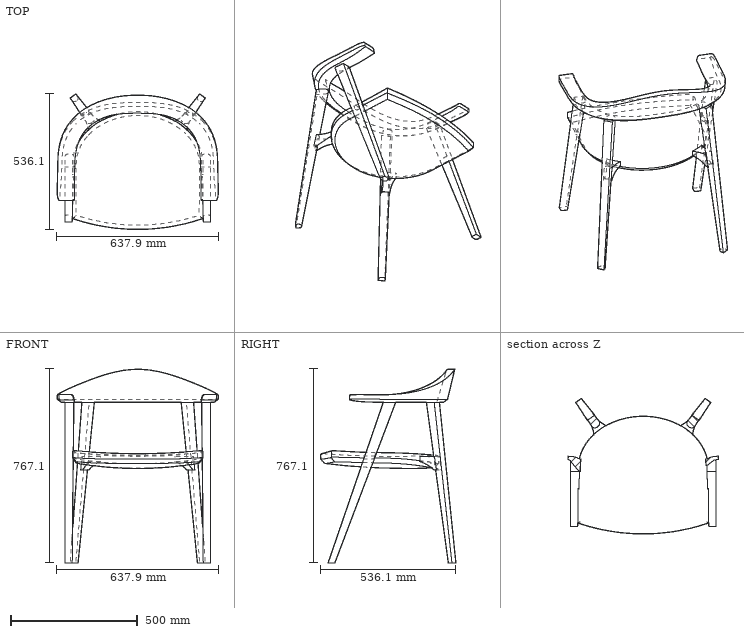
import cadquery as cq
import math


rail_bottom = 636.0
arm_top = 666.0
crest_top = 767.09
crest_power = 2.4
bend_y = -30.0
bend_power = 2.6
rail_half_width = 316.8
rail_outer_back = 235.0
rail_inner_half = 249.0
rail_inner_back = 192.0
outer_lean = 0.24
inner_lean = 0.30
bevel_width = 16.0
bevel_height = 12.0
rail_round = 6.0
bend_step = 15
arm_end_y = -154.0
arm_end_half_width = 311.0
arm_end_bottom = 646.0
arm_end_bevel = 4.0
arm_nose_round = 6.0

seat_half_width = 258.0
seat_back = 198.0
seat_front = -268.0
seat_corner_y = -225.0
seat_front_z = 434.0
seat_back_z = 427.0
seat_bend_y = -10.0
seat_side_rise = 16.0
seat_dish = 8.0
seat_under_z = 374.0
seat_under_y = 75.0
seat_under_front_rise = 22.0
seat_under_side_rise = 24.0
seat_under_corner_rise = 8.0
seat_bevel_in = 17.0
seat_bevel_up = 15.0
seat_edge_round = 7.0

front_leg_outer_x = 288.0
front_top_width, front_top_depth, front_top_round = 36.0, 50.0, 12.0
front_foot_width, front_foot_depth, front_foot_round = 29.0, 27.5, 8.0
front_top_y = -20.0
front_foot_y = -238.5

rear_turn = 54.0
rear_foot_x, rear_foot_y = 256.0, 260.0
rear_lean = 83.7
rear_top_width, rear_top_depth, rear_top_round = 36.0, 46.0, 15.0
rear_foot_width, rear_foot_depth, rear_foot_round = 27.5, 24.0, 12.0

bracket_top = 422.0
bracket_bottom_z = 368.0
bracket_seat_bottom = 408.0
bracket_leg_width = 32.0
bracket_seat_width = 80.0
bracket_reach = 75.0
bracket_flare = 0.2
bracket_hollow = 0.6


def bend_radius(half_width, depth, angle):
    """Distance from the bend centre to a superellipse, at an angle in degrees from +X."""
    across = abs(math.cos(math.radians(angle)) / half_width)
    along = abs(math.sin(math.radians(angle)) / depth)
    return (across ** bend_power + along ** bend_power) ** (-1 / bend_power)


def rail_section(plane, inner, outer, top, bottom, lean, bevel_w, bevel_h):
    """Cross-section wire; local x runs outward, local y is the height."""
    inner_top = inner + inner_lean * (top - bottom)
    outer_top = outer + lean * (top - bottom - bevel_h)
    tilt = math.hypot(1, inner_lean)
    foot_x = inner_top - rail_round * inner_lean / tilt
    foot_z = top - rail_round / tilt
    return (
        cq.Workplane(plane)
        .moveTo(inner, bottom)
        .lineTo(outer - bevel_w, bottom)
        .lineTo(outer, bottom + bevel_h)
        .lineTo(outer_top, top)
        .lineTo(inner_top + rail_round, top)
        .tangentArcPoint((foot_x, foot_z), relative=False)
        .close()
        .val()
    )


def bend_section(angle):
    """Upright cross-section of the rail, cut through the bend centre."""
    outward = cq.Vector(math.cos(math.radians(angle)), math.sin(math.radians(angle)), 0)
    plane = cq.Plane(origin=(0, bend_y, 0), xDir=outward, normal=outward.cross(cq.Vector(0, 0, 1)))
    back = math.sin(math.radians(angle))
    inner = bend_radius(rail_inner_half, rail_inner_back - bend_y, angle)
    outer = bend_radius(rail_half_width, rail_outer_back - bend_y, angle)
    top = arm_top + (crest_top - arm_top) * max(back, 0) ** crest_power
    return rail_section(plane, inner, outer, top, rail_bottom, outer_lean * back, bevel_width, bevel_height)


def arm_end_section(side):
    """Thinned cross-section at the front end of an arm."""
    outward = cq.Vector(side, 0, 0)
    plane = cq.Plane(origin=(0, arm_end_y, 0), xDir=outward, normal=outward.cross(cq.Vector(0, 0, 1)))
    return rail_section(
        plane, rail_inner_half, arm_end_half_width, arm_top, arm_end_bottom, 0, arm_end_bevel, arm_end_bevel
    )


def make_rail():
    """One smooth body from the tip of one arm round the back to the tip of the other."""
    bend = [bend_section(angle) for angle in range(0, 181, bend_step)]
    wires = [arm_end_section(1), *bend, arm_end_section(-1)]
    rail = cq.Workplane(cq.Solid.makeLoft(wires, False))
    return rail.faces("<Y").edges(">Z").fillet(arm_nose_round)


def seat_top_z(x, y):
    """Height of the dished upper face."""
    along = (y - seat_front) / (seat_back - seat_front)
    hollow = seat_dish * 4 * along * (1 - along)
    slope = seat_front_z + (seat_back_z - seat_front_z) * along
    return slope - hollow + seat_side_rise * (x / seat_half_width) ** 2


def seat_under_height(x, y):
    """Height of the bowed underside."""
    forward = ((y - seat_under_y) / (seat_front - seat_under_y)) ** 2
    side_rise = seat_under_side_rise + (seat_under_corner_rise - seat_under_side_rise) * forward
    return seat_under_z + seat_under_front_rise * forward + side_rise * (x / seat_half_width) ** 2


def height_surface(height):
    """Smooth face over the seat area with Z given by height(x, y)."""
    steps = 8
    margin = 20.0
    tolerance = 0.05
    x0, x1 = -seat_half_width - margin, seat_half_width + margin
    y0, y1 = seat_front - margin, seat_back + margin
    xs = [x0 + (x1 - x0) * i / steps for i in range(steps + 1)]
    ys = [y0 + (y1 - y0) * i / steps for i in range(steps + 1)]
    return cq.Face.makeSplineApprox([[cq.Vector(x, y, height(x, y)) for y in ys] for x in xs], tol=tolerance)


def make_seat():
    """Slab with the seat's outline, trimmed by the upper and lower curved faces."""
    slab_bottom, slab_height = 300, 200
    slab = (
        cq.Workplane("XY", origin=(0, 0, slab_bottom))
        .moveTo(-seat_half_width, seat_corner_y)
        .threePointArc((0, seat_front), (seat_half_width, seat_corner_y))
        .lineTo(seat_half_width, seat_bend_y)
        .ellipseArc(seat_half_width, seat_back - seat_bend_y, 0, 180, startAtCurrent=True)
        .close()
        .extrude(slab_height)
    )
    above = cq.Solid.extrudeLinear(height_surface(seat_top_z), cq.Vector(0, 0, slab_height))
    below = cq.Solid.extrudeLinear(height_surface(seat_under_height), cq.Vector(0, 0, -slab_height))
    seat = slab.cut(cq.Workplane(above)).cut(cq.Workplane(below))
    seat = seat.faces("<Z").chamfer(seat_bevel_up, seat_bevel_in)
    return seat.faces(">Z").fillet(seat_edge_round)


def leg_section(plane, width, depth, round_radius):
    """Outline from the outer face at local y = 0 into depth, far corners rounded."""
    half = width / 2
    r = round_radius
    return (
        cq.Workplane(plane)
        .moveTo(-half, 0)
        .lineTo(half, 0)
        .lineTo(half, depth - r)
        .tangentArcPoint((half - r, depth), relative=False)
        .lineTo(-half + r, depth)
        .tangentArcPoint((-half, depth - r), relative=False)
        .close()
        .val()
    )


def make_front_leg(side):
    """Tapered leg raked forward, with a straight outer side."""
    foot_x = side * (front_leg_outer_x - front_foot_width / 2)
    top_x = side * (front_leg_outer_x - front_top_width / 2)
    foot = cq.Plane(origin=(foot_x, front_foot_y, 0))
    top = cq.Plane(origin=(top_x, front_top_y, rail_bottom))
    return cq.Workplane(cq.Solid.makeLoft([
        leg_section(foot, front_foot_width, front_foot_depth, front_foot_round),
        leg_section(top, front_top_width, front_top_depth, front_top_round),
    ], True))


def rear_plane(side, inward, z):
    """Plane whose local y points into the chair, moved inward from the foot's outer face."""
    dx = -side * math.cos(math.radians(rear_turn))
    dy = -math.sin(math.radians(rear_turn))
    origin = (side * rear_foot_x + inward * dx, rear_foot_y + inward * dy, z)
    return cq.Plane(origin=origin, xDir=(dy, -dx, 0), normal=(0, 0, 1))


def make_rear_leg(side):
    """Tapered leg splayed outward towards the floor."""
    return cq.Workplane(cq.Solid.makeLoft([
        leg_section(rear_plane(side, 0, 0), rear_foot_width, rear_foot_depth, rear_foot_round),
        leg_section(rear_plane(side, rear_lean, rail_bottom), rear_top_width, rear_top_depth, rear_top_round),
    ], True))


def make_bracket(side, seat, leg):
    """Arm with a hollowed underside, flaring from the leg's inner face into the seat's edge."""
    height_share = bracket_bottom_z / rail_bottom
    plane = rear_plane(side, rear_lean * height_share, 0)
    leg_depth = rear_foot_depth + (rear_top_depth - rear_foot_depth) * height_share
    start = leg_depth - rear_foot_round
    end = leg_depth + bracket_reach
    half_leg = bracket_leg_width / 2
    half_seat = bracket_seat_width / 2
    mid = (leg_depth + end) / 2
    waist = half_leg + (half_seat - half_leg) * bracket_flare
    rise = bracket_seat_bottom - bracket_bottom_z
    plan = (
        cq.Workplane(plane)
        .moveTo(-half_leg, start)
        .lineTo(half_leg, start)
        .lineTo(half_leg, leg_depth)
        .threePointArc((waist, mid), (half_seat, end))
        .lineTo(-half_seat, end)
        .threePointArc((-waist, mid), (-half_leg, leg_depth))
        .close()
        .extrude(bracket_top)
    )
    profile_plane = cq.Plane(origin=plane.origin, xDir=plane.yDir, normal=plane.xDir)
    profile = (
        cq.Workplane(profile_plane)
        .moveTo(start, bracket_top)
        .lineTo(start, bracket_bottom_z)
        .lineTo(leg_depth, bracket_bottom_z)
        .threePointArc((mid, bracket_bottom_z + rise * bracket_hollow), (end, bracket_seat_bottom))
        .lineTo(end, bracket_top)
        .close()
        .extrude(half_seat, both=True)
    )
    return plan.intersect(profile).cut(leg).cut(seat)


rail = make_rail()
front_legs = [make_front_leg(side).cut(rail) for side in (-1, 1)]
rear_legs = [make_rear_leg(side).cut(rail) for side in (-1, 1)]
seat = make_seat()
for leg in front_legs:
    seat = seat.cut(leg)
brackets = [make_bracket(side, seat, leg) for side, leg in zip((-1, 1), rear_legs)]

bodies = [rail, seat, *front_legs, *rear_legs, *brackets]
result = cq.Compound.makeCompound([body.val() for body in bodies])